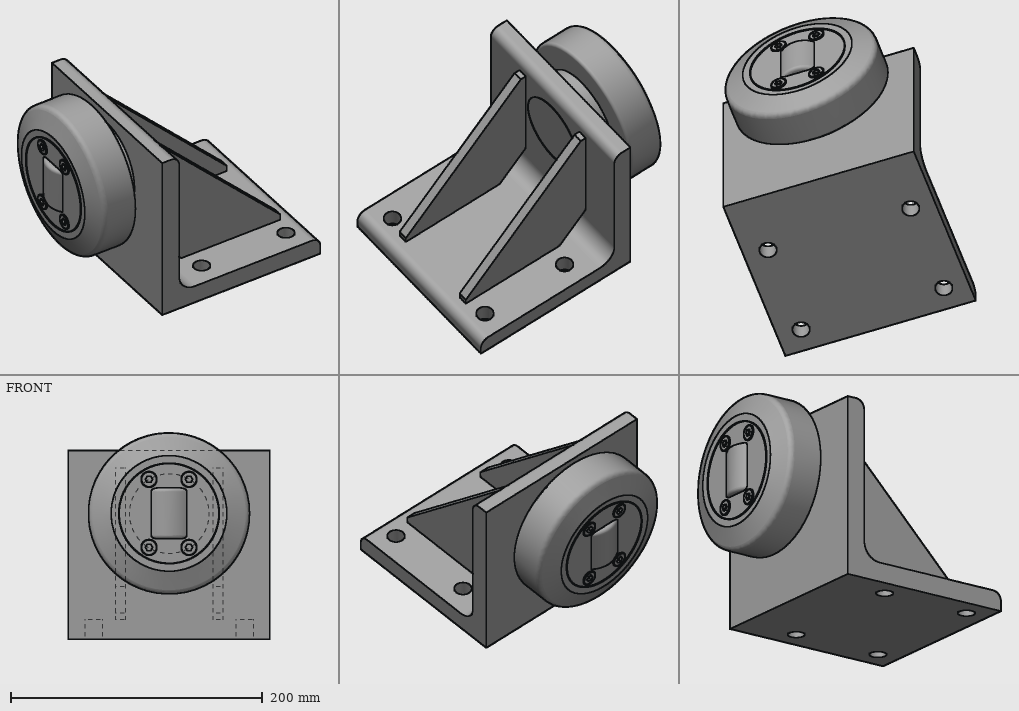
import cadquery as cq
import math

bracket_width = 160.0
leg_length = 150.0
leg_thickness = 16.0
tip_radius = 8.0
inner_radius = 15.0

hole_diameter = 13.8
hole_half_spacing_x = 60.0
hole_first_y = 50.5
hole_spacing_y = 80.0

rib_thickness = 8.0
rib_inner_x = 34.8
rib_reach = 136.4
rib_end_step = 5.0
rib_corner_cut = 42.2

overall_depth = 206
overall_height = 164.0
roller_diameter = 128.0
roller_radius = roller_diameter / 2
roller_axis_z = overall_height - roller_radius
hub_diameter = 80.0
hub_length = 13.5
roller_front = 51.0
cone_start = 43.7
cone_end_radius = 46.0
rear_edge_radius = 2.7
front_edge_radius = 5.0
axle_end_diameter = 63.2
axle_end_height = 0.5

cap_gap_diameter = 80.0
gap_width = 0.5
gap_depth = 0.6

screw_head_diameter = 11.7
screw_projection = 0.5
screw_half_spacing_x = 15.9
screw_half_spacing_z = 27.0
socket_flats = 5.0
socket_depth = 2.5

guide_width = 28.2
guide_height = 40.4
guide_edge_radius = 2.9
guide_projection = overall_depth - leg_length - roller_front


def front_plane(distance):
    """Plane parallel to the wall, `distance` in front of it, facing outward on the roller axis."""
    return cq.Workplane("XZ", origin=(0, -distance, roller_axis_z))


def make_bracket():
    """L-section with a rounded inner corner, rounded tips and four base holes."""
    half_width = bracket_width / 2
    body = (
        cq.Workplane("YZ", origin=(-half_width, 0, 0))
        .polyline([
            (0, 0),
            (leg_length, 0),
            (leg_length, leg_thickness),
            (leg_thickness, leg_thickness),
            (leg_thickness, leg_length),
            (0, leg_length),
        ])
        .close()
        .extrude(bracket_width)
    )
    corner = (0, leg_thickness, leg_thickness)
    base_tip = (0, leg_length, leg_thickness)
    wall_tip = (0, leg_thickness, leg_length)
    body = body.edges(cq.NearestToPointSelector(corner)).fillet(inner_radius)
    for tip in (base_tip, wall_tip):
        body = body.edges(cq.NearestToPointSelector(tip)).fillet(tip_radius)
    hole_points = [
        (side * hole_half_spacing_x, hole_first_y + row * hole_spacing_y)
        for side in (-1, 1)
        for row in (0, 1)
    ]
    holes = cq.Workplane("XY").pushPoints(hole_points).circle(hole_diameter / 2).extrude(leg_thickness)
    return body.cut(holes)


def make_rib(start_x):
    """Sloped rib, symmetric about the 45 degree line, clear of the inner corner."""
    step = leg_thickness + rib_end_step
    return (
        cq.Workplane("YZ", origin=(start_x, 0, 0))
        .polyline([
            (rib_corner_cut, leg_thickness),
            (rib_reach, leg_thickness),
            (rib_reach, step),
            (step, rib_reach),
            (leg_thickness, rib_reach),
            (leg_thickness, rib_corner_cut),
        ])
        .close()
        .extrude(rib_thickness)
    )


def make_roller():
    """Roller with a conical front edge, its hub, and the axle end showing behind the wall."""
    roller = (
        cq.Workplane("XY")
        .polyline([
            (0, -hub_length),
            (roller_radius, -hub_length),
            (roller_radius, -cone_start),
            (cone_end_radius, -roller_front),
            (0, -roller_front),
        ])
        .close()
        .revolve(360, (0, 0), (0, 1))
        .translate((0, 0, roller_axis_z))
    )
    roller = roller.edges(">Y").fillet(rear_edge_radius)
    margin = 2
    below_rim = (-roller_radius, -cone_start - margin, 0)
    above_rim = (roller_radius, -cone_start + margin, overall_height)
    rim = cq.selectors.BoxSelector(below_rim, above_rim)
    roller = roller.edges("%CIRCLE").edges(rim).fillet(front_edge_radius)
    hub = front_plane(0).circle(hub_diameter / 2).extrude(hub_length)
    axle_end_y = leg_thickness + axle_end_height
    axle = front_plane(-axle_end_y).circle(axle_end_diameter / 2).extrude(axle_end_y)
    return roller.union(hub).union(axle)


def make_guide():
    """Shallow cylindrical segment with its axis along Z and rounded end arcs."""
    half_width = guide_width / 2
    crown_y = -roller_front - guide_projection
    return (
        cq.Workplane("XY", origin=(0, 0, roller_axis_z - guide_height / 2))
        .moveTo(-half_width, -roller_front)
        .threePointArc((0, crown_y), (half_width, -roller_front))
        .lineTo(half_width, -hub_length)
        .lineTo(-half_width, -hub_length)
        .close()
        .extrude(guide_height)
        .edges("%CIRCLE")
        .fillet(guide_edge_radius)
    )


def make_gap_ring(outer_diameter):
    """Cutter for the thin gap in the roller face."""
    outer_radius = outer_diameter / 2
    return (
        front_plane(roller_front - gap_depth)
        .circle(outer_radius)
        .circle(outer_radius - gap_width)
        .extrude(gap_depth)
    )


def add_screws(body):
    """Four screw heads, each in a slightly larger recess, with hexagon sockets."""
    points = [
        (x_side * screw_half_spacing_x, z_side * screw_half_spacing_z)
        for x_side in (-1, 1)
        for z_side in (-1, 1)
    ]
    head_radius = screw_head_diameter / 2
    head_front = roller_front + screw_projection
    recess_bottom = front_plane(roller_front - gap_depth).pushPoints(points)
    recesses = recess_bottom.circle(head_radius + gap_width).extrude(gap_depth)
    heads = recess_bottom.circle(head_radius).extrude(gap_depth + screw_projection)
    socket_corners = socket_flats / math.cos(math.pi / 6)
    sockets = (
        front_plane(head_front - socket_depth)
        .pushPoints(points)
        .polygon(6, socket_corners)
        .extrude(socket_depth)
    )
    return body.cut(recesses).union(heads).cut(sockets)


result = make_bracket()
for rib_start in (-rib_inner_x - rib_thickness, rib_inner_x):
    result = result.union(make_rib(rib_start))
result = result.union(make_roller()).cut(make_gap_ring(cap_gap_diameter))
result = add_screws(result).union(make_guide())